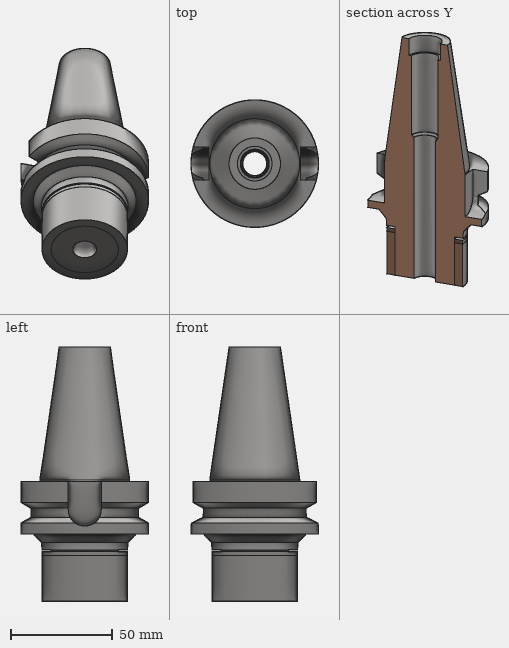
import cadquery as cq
import math

total_height = 125.4
gauge_line_z = 60.1

gauge_radius = 22.2
taper_ratio = 7 / 24
shank_top_radius = gauge_radius - (total_height - gauge_line_z) * taper_ratio / 2

flange_radius = 31.5
groove_radius = 26.6
flange_top_z = 59.2
flange_bottom_z = 33.1
groove_angle = 30.0
groove_floor_top_z = 45.9
groove_floor_bottom_z = 41.4
groove_cone_height = (flange_radius - groove_radius) * math.tan(math.radians(groove_angle))

nut_radius = 21.1
nut_height = 22.6
ring_height = 1.9

cone_top_radius = 25.3
collar_top_radius = 21.5
collar_bottom_radius = nut_radius
collar_top_z = 29.1
collar_bottom_z = 25.3

neck_radius = 16.5

slot_width = 16.3
slot_flat_x = 22.5
slot_bottom_z = 37.1
slot_side_angles = (0, 180)
cutter_margin = 1.3

counterbore_radius = 8.5
counterbore_depth = 8.8
thread_radius = 7.1
thread_end_z = 75.2
seat_top_radius = 6.8
seat_bottom_radius = 6.1
seat_height = 1.3
through_radius = 5.9


def revolve_profile(points):
    """Revolve a closed (radius, height) outline about the Z axis."""
    return cq.Workplane("XZ").polyline(points).close().revolve(360, (0, 0, 0), (0, 1, 0))


def make_drive_slot(side_angle):
    """Cutter for one round-ended drive slot, turned about Z to its side."""
    slot_radius = slot_width / 2
    arc_center_z = slot_bottom_z + slot_radius
    cutter_top_z = flange_top_z + cutter_margin
    cutter_depth = flange_radius - slot_flat_x + cutter_margin
    return (
        cq.Workplane("YZ", origin=(slot_flat_x, 0, 0))
        .moveTo(-slot_radius, cutter_top_z)
        .lineTo(-slot_radius, arc_center_z)
        .threePointArc((0, slot_bottom_z), (slot_radius, arc_center_z))
        .lineTo(slot_radius, cutter_top_z)
        .close()
        .extrude(cutter_depth)
        .rotate((0, 0, 0), (0, 0, 1), side_angle)
    )


def make_bore():
    """Stepped bore: counterbore, thread hole, conical seat and through hole."""
    counterbore_z = total_height - counterbore_depth
    seat_bottom_z = thread_end_z - seat_height
    return revolve_profile([
        (0, 0),
        (through_radius, 0),
        (through_radius, seat_bottom_z),
        (seat_bottom_radius, seat_bottom_z),
        (seat_top_radius, thread_end_z),
        (thread_radius, thread_end_z),
        (thread_radius, counterbore_z),
        (counterbore_radius, counterbore_z),
        (counterbore_radius, total_height),
        (0, total_height),
    ])


def make_holder():
    """Taper shank, grooved drive flange, collar and neck in one turned body."""
    body = revolve_profile([
        (0, 0),
        (neck_radius, 0),
        (neck_radius, collar_bottom_z),
        (collar_bottom_radius, collar_bottom_z),
        (collar_top_radius, collar_top_z),
        (cone_top_radius, flange_bottom_z),
        (flange_radius, flange_bottom_z),
        (flange_radius, groove_floor_bottom_z - groove_cone_height),
        (groove_radius, groove_floor_bottom_z),
        (groove_radius, groove_floor_top_z),
        (flange_radius, groove_floor_top_z + groove_cone_height),
        (flange_radius, flange_top_z),
        (gauge_radius, flange_top_z),
        (gauge_radius, gauge_line_z),
        (shank_top_radius, total_height),
        (0, total_height),
    ])
    for side_angle in slot_side_angles:
        body = body.cut(make_drive_slot(side_angle))
    return body.cut(make_bore())


def make_sleeve(bottom_z, height):
    """Plain ring of the nut's diameter around the holder's neck."""
    return (
        cq.Workplane("XY", origin=(0, 0, bottom_z))
        .circle(nut_radius)
        .circle(neck_radius)
        .extrude(height)
    )


holder = make_holder()
nut = make_sleeve(0, nut_height)
cover_ring = make_sleeve(nut_height, ring_height)

result = cq.Compound.makeCompound([holder.val(), nut.val(), cover_ring.val()])